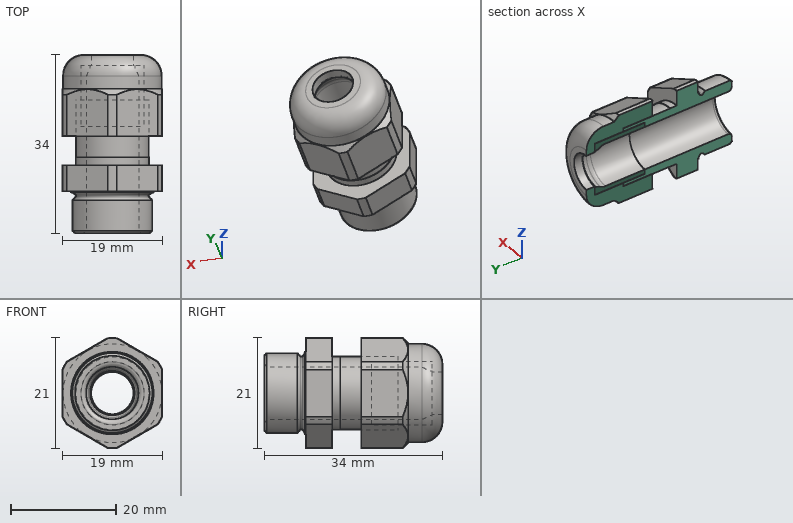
import cadquery as cq
import math


TOTAL_LENGTH = 34.0
HEX_ACROSS_FLATS = 19.0
HEX_ACROSS_CORNERS = 21.0

THREAD_RADIUS = 7.6
THREAD_CHAMFER = 0.5
SHOULDER_Y = 8.0
BODY_HEX_THICKNESS = 5.0
COLLAR_RADIUS = 7.9
COLLAR_THICKNESS = 0.2
GROOVE_RADIUS = 6.95
GROOVE_Y = 7.15
GROOVE_ROUND = 0.3
FLARE_RADIUS = 7.0
FLARE_Y = 7.3
SHANK_RADIUS = 7.0
SHANK_STEP = 0.05
SHANK_THREAD_Y = 14.5
BORE_RADIUS = 5.0
BORE_MOUTH_ROUND = 1.0

NUT_Y = 18.5
NUT_HEX_TOP_Y = 27.5
DOME_RADIUS = 9.42
DOME_ROUND = 4.0
CABLE_HOLE_RADIUS = 4.0
DOME_WALL = 2.05

SEAL_OUTER_RADIUS = 6.02
SEAL_Y = 20.4
SEAL_THROAT_RADIUS = 4.25
SEAL_TAPER_LENGTH = 2.38

BODY_HEX_TOP_Y = SHOULDER_Y + BODY_HEX_THICKNESS
SHANK_TOP_Y = NUT_HEX_TOP_Y - DOME_WALL
SHANK_THREAD_RADIUS = SHANK_RADIUS - SHANK_STEP
DOME_FLOOR_Y = TOTAL_LENGTH - DOME_WALL


def revolve_about_y(profile):
    """Turn a closed (radius, y) profile into a solid of revolution about Y."""
    return profile.close().revolve(360, (0, 0, 0), (0, 1, 0))


def cylinder(radius, y_start, y_end):
    """Solid cylinder on the Y axis."""
    profile = (
        cq.Workplane("XY")
        .moveTo(0, y_start)
        .lineTo(radius, y_start)
        .lineTo(radius, y_end)
        .lineTo(0, y_end)
    )
    return revolve_about_y(profile)


def hex_prism(y_start, y_end):
    """Hexagon with flats facing +X and -X and its corners turned round."""
    sharp_diameter = HEX_ACROSS_FLATS / math.cos(math.pi / 6)
    prism = (
        cq.Workplane("XZ", origin=(0, y_start, 0))
        .transformed(rotate=(0, 0, 30))
        .polygon(6, sharp_diameter)
        .extrude(y_start - y_end)
    )
    return prism.intersect(cylinder(HEX_ACROSS_CORNERS / 2, y_start, y_end))


def thread_end():
    """Entry thread, relief groove and flared collar below the body hex."""
    collar_y = SHOULDER_Y - COLLAR_THICKNESS
    round_height = GROOVE_ROUND * math.sin(math.pi / 4)
    round_edge_radius = GROOVE_RADIUS + GROOVE_ROUND - round_height
    slope_start_y = GROOVE_Y - round_height
    slope_end_y = slope_start_y - (THREAD_RADIUS - round_edge_radius)
    profile = (
        cq.Workplane("XY")
        .moveTo(0, 0)
        .lineTo(THREAD_RADIUS - THREAD_CHAMFER, 0)
        .lineTo(THREAD_RADIUS, THREAD_CHAMFER)
        .lineTo(THREAD_RADIUS, slope_end_y)
        .lineTo(round_edge_radius, slope_start_y)
        .tangentArcPoint((GROOVE_RADIUS, GROOVE_Y), relative=False)
        .tangentArcPoint((FLARE_RADIUS, FLARE_Y), relative=False)
        .tangentArcPoint((COLLAR_RADIUS, collar_y), relative=False)
        .lineTo(COLLAR_RADIUS, SHOULDER_Y)
        .lineTo(0, SHOULDER_Y)
    )
    return revolve_about_y(profile)


def bore_mouth():
    """Rounded lead-in that widens the bore at the thread end."""
    mouth_radius = BORE_RADIUS + BORE_MOUTH_ROUND
    middle_inset = BORE_MOUTH_ROUND * (1 - math.sqrt(0.5))
    round_middle = (BORE_RADIUS + middle_inset, middle_inset)
    profile = (
        cq.Workplane("XY")
        .moveTo(0, 0)
        .lineTo(mouth_radius, 0)
        .threePointArc(round_middle, (BORE_RADIUS, BORE_MOUTH_ROUND))
        .lineTo(0, BORE_MOUTH_ROUND)
    )
    return revolve_about_y(profile)


def make_body():
    """Threaded body with its hex, nut shank, through bore and seal seat."""
    plain_shank = cylinder(SHANK_RADIUS, BODY_HEX_TOP_Y, SHANK_THREAD_Y)
    nut_thread = cylinder(SHANK_THREAD_RADIUS, SHANK_THREAD_Y, SHANK_TOP_Y)
    blank = thread_end().union(hex_prism(SHOULDER_Y, BODY_HEX_TOP_Y)).union(plain_shank).union(nut_thread)
    bore = cylinder(BORE_RADIUS, 0, SHANK_TOP_Y)
    seal_seat = cylinder(SEAL_OUTER_RADIUS, SEAL_Y, SHANK_TOP_Y)
    return blank.cut(bore).cut(bore_mouth()).cut(seal_seat)


def make_nut():
    """Cap nut: chamfered hex and dome, hollowed for the shank and the seal."""
    corner_radius = HEX_ACROSS_CORNERS / 2
    chamfer_height = corner_radius - DOME_RADIUS
    chamfer_envelope = revolve_about_y(
        cq.Workplane("XY")
        .moveTo(0, NUT_Y)
        .lineTo(corner_radius, NUT_Y)
        .lineTo(corner_radius, NUT_HEX_TOP_Y - chamfer_height)
        .lineTo(DOME_RADIUS, NUT_HEX_TOP_Y)
        .lineTo(0, NUT_HEX_TOP_Y)
    )
    nut_hex = hex_prism(NUT_Y, NUT_HEX_TOP_Y).intersect(chamfer_envelope)
    dome = cylinder(DOME_RADIUS, NUT_HEX_TOP_Y, TOTAL_LENGTH).faces(">Y").edges().fillet(DOME_ROUND)
    shank_bore = cylinder(SHANK_THREAD_RADIUS, NUT_Y, SHANK_TOP_Y)
    seal_pocket = cylinder(SEAL_OUTER_RADIUS, SHANK_TOP_Y, DOME_FLOOR_Y)
    cable_hole = cylinder(CABLE_HOLE_RADIUS, DOME_FLOOR_Y, TOTAL_LENGTH)
    return nut_hex.union(dome).cut(shank_bore).cut(seal_pocket).cut(cable_hole)


def make_seal():
    """Sealing sleeve whose bore narrows in an S-curve towards the dome."""
    taper_start_y = DOME_FLOOR_Y - SEAL_TAPER_LENGTH
    taper_middle = ((BORE_RADIUS + SEAL_THROAT_RADIUS) / 2, DOME_FLOOR_Y - SEAL_TAPER_LENGTH / 2)
    profile = (
        cq.Workplane("XY")
        .moveTo(SEAL_OUTER_RADIUS, SEAL_Y)
        .lineTo(BORE_RADIUS, SEAL_Y)
        .lineTo(BORE_RADIUS, taper_start_y)
        .tangentArcPoint(taper_middle, relative=False)
        .tangentArcPoint((SEAL_THROAT_RADIUS, DOME_FLOOR_Y), relative=False)
        .lineTo(SEAL_OUTER_RADIUS, DOME_FLOOR_Y)
    )
    return revolve_about_y(profile)


body = make_body()
nut = make_nut()
seal = make_seal()

result = cq.Compound.makeCompound([body.val(), nut.val(), seal.val()])